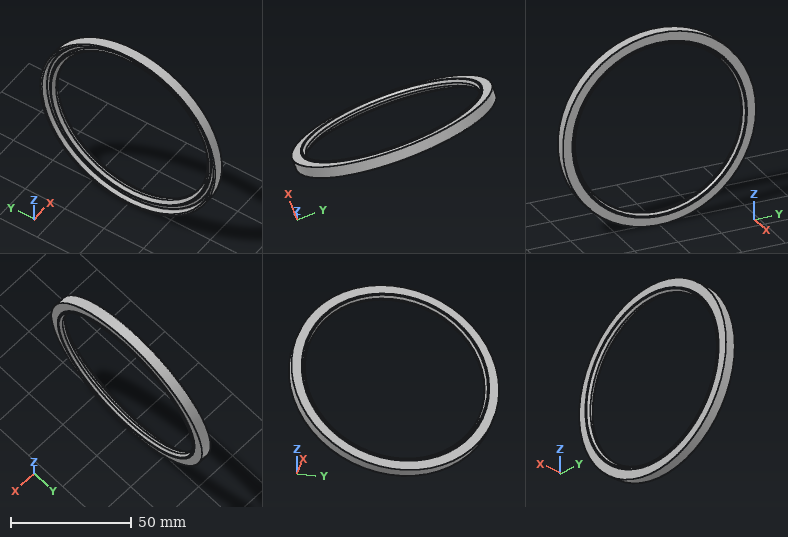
import cadquery as cq
import math

outer_radius = 44.5
recess_radius = 87.0 / 2
relief_outer_radius = 42.6
floor_outer_radius = 42.4
floor_inner_radius = 41.0
ridge_foot_radius = 40.8
ridge_crest_outer_radius = 40.2
ridge_crest_inner_radius = 40.0
bore_radius = 77.0 / 2
rear_flare_radius = 39.4
spigot_radius = 40.1

rim_width = 5.1
total_width = 5.6
relief_depth = 2.2
floor_depth = 2.1
crest_depth = 1.5
bore_start_depth = 3.0
bore_end_depth = 4.3

corner_fillet = 0.45

fillet_start = (relief_depth - corner_fillet, recess_radius)
fillet_end = (relief_depth, recess_radius - corner_fillet)
fillet_reach = corner_fillet * math.sqrt(0.5)
fillet_middle = (
    relief_depth - corner_fillet + fillet_reach,
    recess_radius - corner_fillet + fillet_reach,
)

section = (
    cq.Workplane("XY")
    .moveTo(0, outer_radius)
    .lineTo(rim_width, outer_radius)
    .lineTo(rim_width, spigot_radius)
    .lineTo(total_width, spigot_radius)
    .lineTo(total_width, rear_flare_radius)
    .lineTo(bore_end_depth, bore_radius)
    .lineTo(bore_start_depth, bore_radius)
    .lineTo(crest_depth, ridge_crest_inner_radius)
    .lineTo(crest_depth, ridge_crest_outer_radius)
    .lineTo(relief_depth, ridge_foot_radius)
    .lineTo(floor_depth, floor_inner_radius)
    .lineTo(floor_depth, floor_outer_radius)
    .lineTo(relief_depth, relief_outer_radius)
    .lineTo(*fillet_end)
    .threePointArc(fillet_middle, fillet_start)
    .lineTo(0, recess_radius)
    .close()
)

result = section.revolve(360, (0, 0, 0), (1, 0, 0))